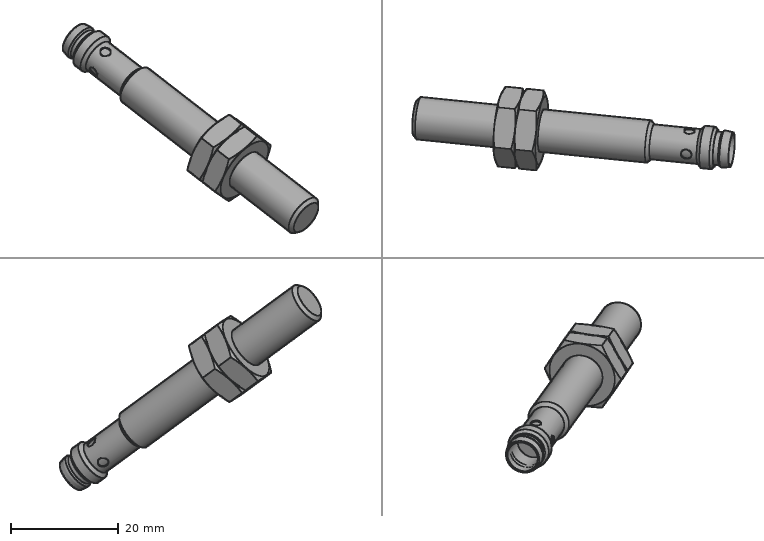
import cadquery as cq
import math

BODY_LENGTH = 60.0
BARREL_RADIUS = 4.0
BARREL_START = 15.0
BARREL_REAR_CHAMFER = 0.7
BARREL_FRONT_CHAMFER = 0.7
NECK_RADIUS = 3.3

NOSE_RADIUS = 3.27
RIDGE_RADIUS = 3.47
RIDGE_START = 1.1
RIDGE_END = 1.65
GROOVE_RADIUS = 3.15
GROOVE_START = 2.0

COLLAR_START = 2.95
COLLAR_SHOULDER_RADIUS = 3.45
COLLAR_REAR_CONE_END = 3.5
COLLAR_FRONT_CONE_START = 5.35
COLLAR_END = 6.05

SOCKET_RADIUS = 2.95
SOCKET_DEPTH = 6.0
WINDOW_DIAMETER = 2.0
WINDOW_X = 8.0
WINDOW_DEPTH = 0.25

NUT_ACROSS_FLATS = 13.0
NUT_THICKNESS = 4.0
NUT_START = 36.0
NUT_COUNT = 2
NUT_SIDES = 6
NUT_CHAMFER_ANGLE = 20.0
NUT_FACE_RADIUS = 6.4


def revolve_about_x(outline):
    """Turn a closed (x, radius) outline into a solid about the X axis."""
    return cq.Workplane("XY").polyline(outline).close().revolve(360, (0, 0, 0), (1, 0, 0))


def make_window_recesses():
    """Discs to cut around the neck, each with a floor concentric with the neck."""
    across_neck = (
        cq.Workplane("XY", origin=(WINDOW_X, 0, -BARREL_RADIUS))
        .circle(WINDOW_DIAMETER / 2)
        .extrude(2 * BARREL_RADIUS)
    )
    crossed = across_neck.union(across_neck.rotate((0, 0, 0), (1, 0, 0), 90))
    core = cq.Workplane("YZ").circle(NECK_RADIUS - WINDOW_DEPTH).extrude(BARREL_START)
    return crossed.cut(core)


def make_sensor_body():
    body = revolve_about_x([
        (0, 0),
        (0, NOSE_RADIUS),
        (RIDGE_START, RIDGE_RADIUS),
        (RIDGE_END, RIDGE_RADIUS),
        (GROOVE_START, GROOVE_RADIUS),
        (COLLAR_START, GROOVE_RADIUS),
        (COLLAR_START, COLLAR_SHOULDER_RADIUS),
        (COLLAR_REAR_CONE_END, BARREL_RADIUS),
        (COLLAR_FRONT_CONE_START, BARREL_RADIUS),
        (COLLAR_END, NECK_RADIUS),
        (BARREL_START, NECK_RADIUS),
        (BARREL_START + BARREL_REAR_CHAMFER, BARREL_RADIUS),
        (BODY_LENGTH - BARREL_FRONT_CHAMFER, BARREL_RADIUS),
        (BODY_LENGTH, BARREL_RADIUS - BARREL_FRONT_CHAMFER),
        (BODY_LENGTH, 0),
    ])
    socket = cq.Workplane("YZ").circle(SOCKET_RADIUS).extrude(SOCKET_DEPTH)
    return body.cut(socket).cut(make_window_recesses())


def make_nut(start):
    """Hex nut from X = start, with both ends chamfered and a bore that fits the barrel."""
    corner_radius = NUT_ACROSS_FLATS / 2 / math.cos(math.pi / NUT_SIDES)
    chamfer_length = (corner_radius - NUT_FACE_RADIUS) * math.tan(math.radians(NUT_CHAMFER_ANGLE))
    end = start + NUT_THICKNESS
    hexagon = (
        cq.Workplane("YZ", origin=(start, 0, 0))
        .polygon(NUT_SIDES, 2 * corner_radius)
        .extrude(NUT_THICKNESS)
    )
    chamfered_blank = revolve_about_x([
        (start, BARREL_RADIUS),
        (start, NUT_FACE_RADIUS),
        (start + chamfer_length, corner_radius),
        (end - chamfer_length, corner_radius),
        (end, NUT_FACE_RADIUS),
        (end, BARREL_RADIUS),
    ])
    return hexagon.intersect(chamfered_blank)


sensor_body = make_sensor_body()
nuts = [make_nut(NUT_START + index * NUT_THICKNESS) for index in range(NUT_COUNT)]

result = cq.Compound.makeCompound([sensor_body.val(), *[nut.val() for nut in nuts]])